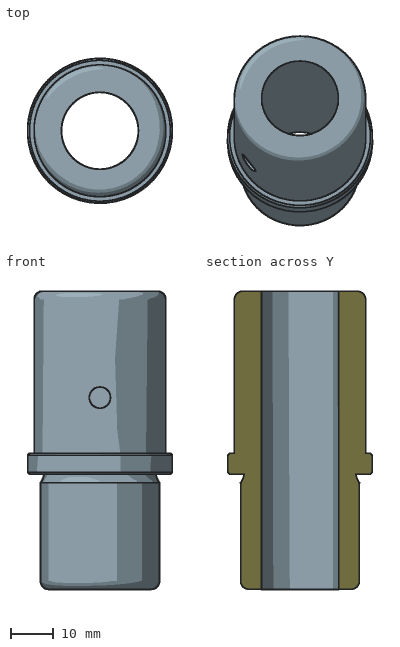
import cadquery as cq

total_height = 70.0
bore_diameter = 18.0
upper_diameter = 30.95
lower_diameter = 28.0
flange_diameter = 34.0
flange_bottom = 27.0
flange_thickness = 5.0
end_fillet = 2.0
flange_chamfer = 0.5
relief_height = 2.0
relief_depth = 0.85
relief_radius = 5.0
hole_diameter = 5.0
hole_height = 45.0


def cylinder(diameter, bottom, height):
    return cq.Workplane("XY").workplane(offset=bottom).circle(diameter / 2).extrude(height)


def relief_cut():
    """Ring under the flange; its concave arc deepens towards the flange."""
    outer_radius = lower_diameter / 2
    neck_radius = outer_radius - relief_depth
    relief_bottom = flange_bottom - relief_height
    return (
        cq.Workplane("XZ")
        .moveTo(outer_radius, flange_bottom)
        .lineTo(neck_radius, flange_bottom)
        .radiusArc((outer_radius, relief_bottom), -relief_radius)
        .close()
        .revolve(360, (0, 0, 0), (0, 1, 0))
    )


spigot = cylinder(lower_diameter, 0, flange_bottom).faces("<Z").edges().fillet(end_fillet)
spigot = spigot.cut(relief_cut())

flange = cylinder(flange_diameter, flange_bottom, flange_thickness).edges().chamfer(flange_chamfer)

flange_top = flange_bottom + flange_thickness
sleeve = cylinder(upper_diameter, flange_top, total_height - flange_top)
sleeve = sleeve.faces(">Z").edges().fillet(end_fillet)

bore = cylinder(bore_diameter, 0, total_height)
radial_hole = (
    cq.Workplane("XZ")
    .center(0, hole_height)
    .circle(hole_diameter / 2)
    .extrude(upper_diameter)
)

body = spigot.union(flange).union(sleeve)
result = body.cut(bore).cut(radial_hole)